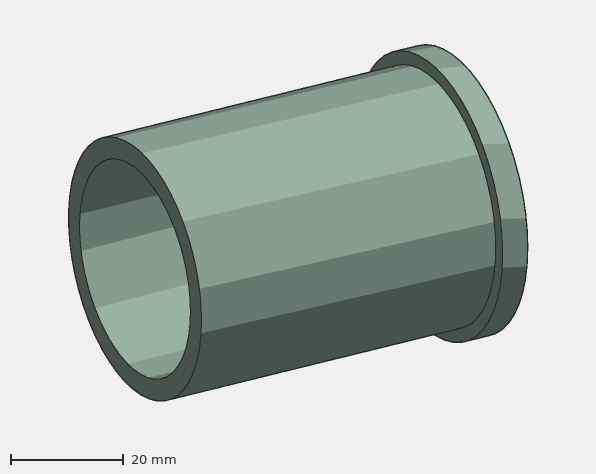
import cadquery as cq

total_length = 65.0
flange_diameter = 53.0
flange_thickness = 5.15
body_diameter = 48.0
bore_diameter = 40.0


def cylinder_along_y(diameter, length):
    """Solid cylinder from the flange's outer face at Y = 0 toward -Y."""
    return cq.Workplane("XZ").circle(diameter / 2).extrude(length)


body = cylinder_along_y(body_diameter, total_length)
flange = cylinder_along_y(flange_diameter, flange_thickness)
bore = cylinder_along_y(bore_diameter, total_length)

result = body.union(flange).cut(bore)